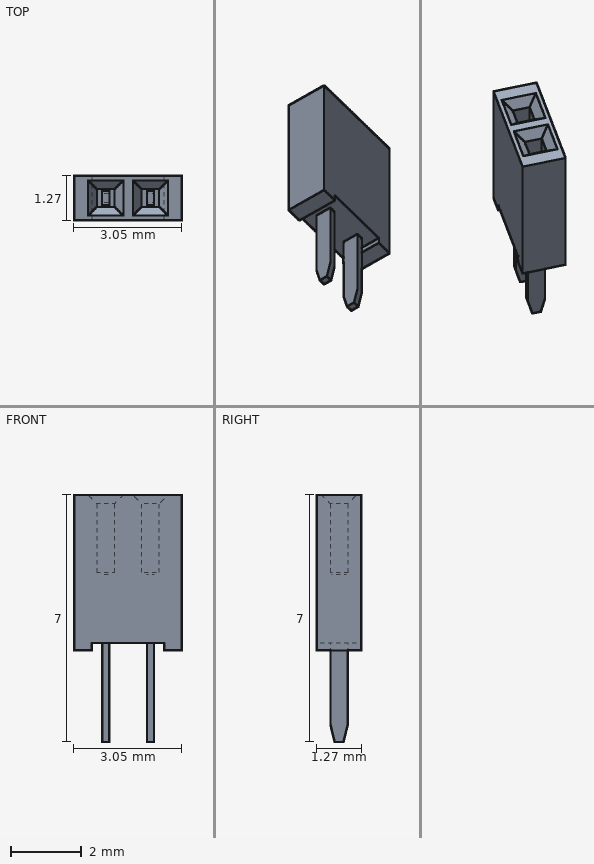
import cadquery as cq

total_height = 7.0
pitch = 1.27
contact_count = 2

housing_length = 3.05
housing_width = 1.27
housing_height = 4.4
foot_length = 0.505
foot_height = 0.2

mouth_side = 1.0
socket_side = 0.5
socket_depth = housing_height / 2
funnel_depth = (mouth_side - socket_side) / 2

pin_thickness = 0.2
pin_width = 0.5
tip_width = 0.25
tip_height = 0.5
slot_floor_width = 0.4
slot_depth = (socket_side - slot_floor_width) / 2

housing_bottom = total_height - housing_height
housing_underside = housing_bottom + foot_height
socket_floor = total_height - socket_depth
contact_positions = [(i - (contact_count - 1) / 2) * pitch for i in range(contact_count)]


def box_at(x, length, width, bottom, top):
    """Upright box centred at (x, 0) between two heights."""
    return cq.Workplane("XY", origin=(x, 0, bottom)).rect(length, width).extrude(top - bottom)


def yz_taper(x, bottom, bottom_width, top, top_width):
    """Plate of pin thickness whose width along Y changes evenly from bottom to top."""
    outline = [
        (-bottom_width / 2, bottom),
        (bottom_width / 2, bottom),
        (top_width / 2, top),
        (-top_width / 2, top),
    ]
    return cq.Workplane("YZ", origin=(x, 0, 0)).polyline(outline).close().extrude(pin_thickness / 2, both=True)


def make_housing():
    """Block standing on a foot at each end."""
    block = box_at(0, housing_length, housing_width, housing_bottom, total_height)
    gap_length = housing_length - 2 * foot_length
    return block.cut(box_at(0, gap_length, housing_width, housing_bottom, housing_underside))


def make_socket(x):
    """Funnel mouth, square hole and tapered contact slot in its floor."""
    funnel = (
        cq.Workplane("XY", origin=(x, 0, total_height))
        .rect(mouth_side, mouth_side)
        .workplane(offset=-funnel_depth)
        .rect(socket_side, socket_side)
        .loft(ruled=True)
    )
    hole = box_at(x, socket_side, socket_side, socket_floor, total_height)
    slot = yz_taper(x, socket_floor - slot_depth, slot_floor_width, socket_floor, socket_side)
    return funnel.union(hole).union(slot)


def make_pin(x):
    """Flat pin narrowing along Y to its tip."""
    shank = box_at(x, pin_thickness, pin_width, tip_height, housing_underside)
    return shank.union(yz_taper(x, 0, tip_width, tip_height, pin_width))


result = make_housing()
for contact_x in contact_positions:
    result = result.cut(make_socket(contact_x)).union(make_pin(contact_x))